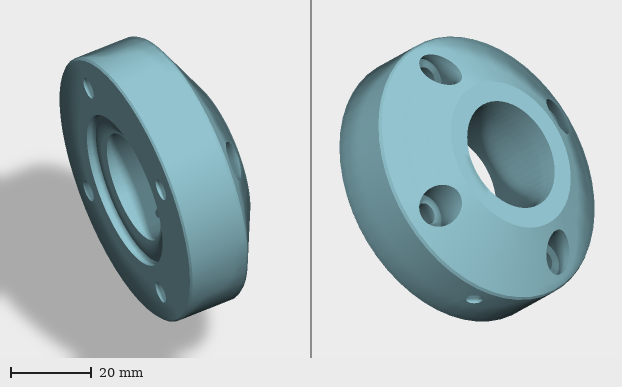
import cadquery as cq
import math

outer_radius = 35.0
thickness = 25.0
rim_height = 16.0
cone_slope = math.radians(30)
edge_chamfer = 0.5

bore_radius = 14.2
insert_radius = 20.0
insert_front = 2.5
insert_seat = 15.0

bolt_circle_radius = 27.0
bolt_count = 4
bolt_hole_diameter = 5.5
counterbore_diameter = 10.0
counterbore_floor = 15.0

set_screw_diameter = 4.2
set_screw_y = 11.0


def revolve_about_y(profile):
    """Revolve an XY profile of (radius, y) points about the Y axis."""
    return cq.Workplane("XY").polyline(profile).close().revolve(360, (0, 0, 0), (0, 1, 0))


def rod_along_y(diameter, x, z, start, end):
    """Cylinder parallel to Y at (x, z), reaching from y = start to y = end."""
    axis_start = cq.Vector(x, start, z)
    return cq.Solid.makeCylinder(diameter / 2, end - start, axis_start, cq.Vector(0, 1, 0))


def set_screw_hole():
    """Radial hole running from the bore straight down through the rim."""
    axis_start = cq.Vector(0, set_screw_y, 0)
    return cq.Solid.makeCylinder(set_screw_diameter / 2, 2 * outer_radius, axis_start, cq.Vector(0, 0, -1))


def make_housing():
    """Disc with a conical rear, a stepped bore and four counterbored bolt holes."""
    rear_face_radius = outer_radius - (thickness - rim_height) / math.tan(cone_slope)
    body = revolve_about_y([
        (insert_radius, 0),
        (outer_radius, 0),
        (outer_radius, rim_height),
        (rear_face_radius, thickness),
        (bore_radius, thickness),
        (bore_radius, insert_seat),
        (insert_radius, insert_seat),
    ])
    widest = cq.selectors.RadiusNthSelector(-1)
    body = body.edges(widest).edges(">Y").chamfer(edge_chamfer)
    body = body.edges("<Y").edges(widest).chamfer(edge_chamfer)
    for index in range(bolt_count):
        angle = 2 * math.pi * (index + 0.5) / bolt_count
        x = bolt_circle_radius * math.cos(angle)
        z = bolt_circle_radius * math.sin(angle)
        body = body.cut(rod_along_y(bolt_hole_diameter, x, z, 0, thickness))
        body = body.cut(rod_along_y(counterbore_diameter, x, z, counterbore_floor, thickness))
    return body.cut(set_screw_hole())


def make_insert():
    """Plain ring seated in the housing pocket, pierced by the set screw hole."""
    ring = revolve_about_y([
        (bore_radius, insert_front),
        (insert_radius, insert_front),
        (insert_radius, insert_seat),
        (bore_radius, insert_seat),
    ])
    return ring.cut(set_screw_hole())


housing = make_housing()
insert = make_insert()

result = cq.Compound.makeCompound([housing.val(), insert.val()])